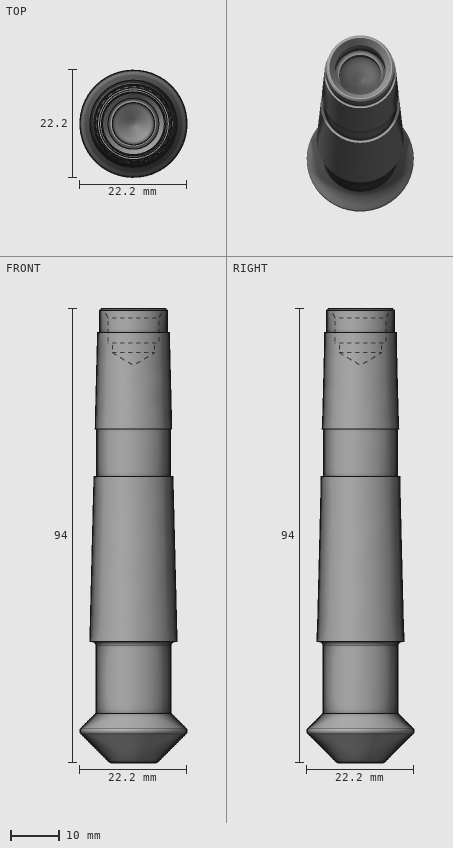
import cadquery as cq
import math

total_height = 94.0
sleeve_bottom = 25.1
groove_bottom = 59.2
groove_top = 69.1
neck_bottom = 89.0

head_diameter = 22.2
rim_radius = 0.8
rim_center_height = 6.6
foot_radius = 0.8

shank_diameter = 15.5
shank_fillet = 0.8
sleeve_bottom_diameter = 18.05
sleeve_top_diameter = 14.85
groove_diameter = 15.3
neck_diameter = 14.0
neck_chamfer = 0.4

mouth_diameter = 12.8
mouth_depth = 1.9
bore_diameter = 10.5
bore_depth = 7.1
drill_diameter = 8.7
drill_depth = 9.1
drill_tip_angle = 118.0

diagonal = math.sqrt(0.5)
shank_radius = shank_diameter / 2
rim_offset = rim_radius * diagonal
rim_edge = head_diameter / 2 - rim_radius + rim_offset
seat_height = rim_center_height + rim_offset + rim_edge - shank_radius
foot_edge_height = foot_radius * (1 - diagonal)
foot_edge = rim_edge - (rim_center_height - rim_offset - foot_edge_height)
foot_center = foot_edge - foot_radius * diagonal


def taper_radius(height):
    """Radius of the handle's straight taper at the given height."""
    fraction = (height - sleeve_bottom) / (neck_bottom - sleeve_bottom)
    return (sleeve_bottom_diameter + fraction * (sleeve_top_diameter - sleeve_bottom_diameter)) / 2


def revolve_profile(profile):
    """Turn a closed half-profile (radius, height) about the Z axis."""
    return profile.close().revolve(360, (0, 0, 0), (0, 1, 0))


def make_head():
    """Double 45 degree cone, rounded at rim and foot, with a flat seat for the shank."""
    foot_turn = math.radians(22.5)
    foot_middle = (
        foot_center + foot_radius * math.sin(foot_turn),
        foot_radius * (1 - math.cos(foot_turn)),
    )
    profile = (
        cq.Workplane("XZ")
        .lineTo(foot_center, 0)
        .threePointArc(foot_middle, (foot_edge, foot_edge_height))
        .lineTo(rim_edge, rim_center_height - rim_offset)
        .threePointArc((head_diameter / 2, rim_center_height), (rim_edge, rim_center_height + rim_offset))
        .lineTo(shank_radius, seat_height)
        .lineTo(0, seat_height)
    )
    return revolve_profile(profile)


def make_handle():
    """Tapered, grooved handle with a stepped blind hole in its top end."""
    fillet_sag = shank_fillet * (1 - diagonal)
    fillet_middle = (shank_radius + fillet_sag, sleeve_bottom - fillet_sag)
    neck_radius = neck_diameter / 2
    groove_radius = groove_diameter / 2
    drill_radius = drill_diameter / 2
    tip_depth = drill_depth + drill_radius / math.tan(math.radians(drill_tip_angle / 2))
    profile = (
        cq.Workplane("XZ")
        .moveTo(0, seat_height)
        .lineTo(shank_radius, seat_height)
        .lineTo(shank_radius, sleeve_bottom - shank_fillet)
        .threePointArc(fillet_middle, (shank_radius + shank_fillet, sleeve_bottom))
        .lineTo(taper_radius(sleeve_bottom), sleeve_bottom)
        .lineTo(taper_radius(groove_bottom), groove_bottom)
        .lineTo(groove_radius, groove_bottom)
        .lineTo(groove_radius, groove_top)
        .lineTo(taper_radius(groove_top), groove_top)
        .lineTo(taper_radius(neck_bottom), neck_bottom)
        .lineTo(neck_radius, neck_bottom)
        .lineTo(neck_radius, total_height - neck_chamfer)
        .lineTo(neck_radius - neck_chamfer, total_height)
        .lineTo(mouth_diameter / 2, total_height)
        .lineTo(bore_diameter / 2, total_height - mouth_depth)
        .lineTo(bore_diameter / 2, total_height - bore_depth)
        .lineTo(drill_radius, total_height - bore_depth)
        .lineTo(drill_radius, total_height - drill_depth)
        .lineTo(0, total_height - tip_depth)
    )
    return revolve_profile(profile)


head = make_head()
handle = make_handle()
result = cq.Compound.makeCompound([head.val(), handle.val()])